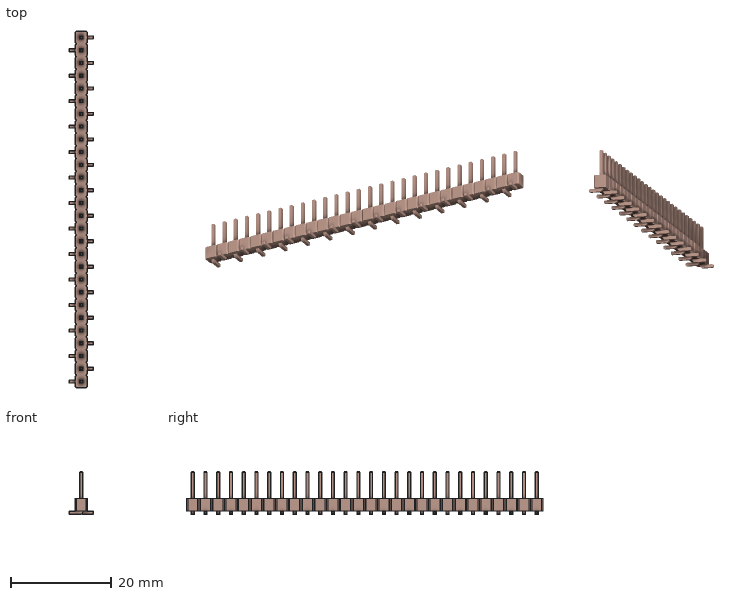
import cadquery as cq

pin_count = 28
row_length = 71.1
pitch = row_length / pin_count
total_width = 5.0
total_height = 8.5

body_width = 2.5
body_height = 2.55
corner_chamfer = 0.3

pin_side = 0.65
pin_top_chamfer = 0.15
foot_end_chamfer = 0.15
bend_radius = pin_side

pin_ys = [(index - (pin_count - 1) / 2) * pitch for index in range(pin_count)]


def body():
    """Row of blocks resting on the feet, with a V-groove on each side between neighbours."""
    side_x = body_width / 2
    groove_x = side_x - corner_chamfer
    half_flat = pitch / 2 - corner_chamfer
    right_edge = [(groove_x, -row_length / 2)]
    for y in pin_ys:
        right_edge.append((side_x, y - half_flat))
        right_edge.append((side_x, y + half_flat))
        right_edge.append((groove_x, y + pitch / 2))
    left_edge = [(-x, y) for x, y in reversed(right_edge)]
    return (
        cq.Workplane("XY")
        .workplane(offset=pin_side)
        .polyline(right_edge + left_edge)
        .close()
        .extrude(body_height)
    )


def bent_pin():
    """L-shaped pin standing on the Z axis, its foot pointing to +X with a rounded outer bend."""
    half_side = pin_side / 2
    return (
        cq.Workplane("XZ")
        .moveTo(-half_side, total_height)
        .lineTo(-half_side, bend_radius)
        .radiusArc((bend_radius - half_side, 0), -bend_radius)
        .lineTo(total_width / 2, 0)
        .lineTo(total_width / 2, pin_side)
        .lineTo(half_side, pin_side)
        .lineTo(half_side, total_height)
        .close()
        .extrude(half_side, both=True)
        .faces(">Z")
        .chamfer(pin_top_chamfer)
        .faces(">X")
        .chamfer(foot_end_chamfer)
    )


right_pin = bent_pin()
left_pin = right_pin.mirror("YZ")

result = body()
for index, pin_y in enumerate(pin_ys):
    pin = right_pin if index % 2 else left_pin
    result = result.union(pin.translate((0, pin_y, 0)))